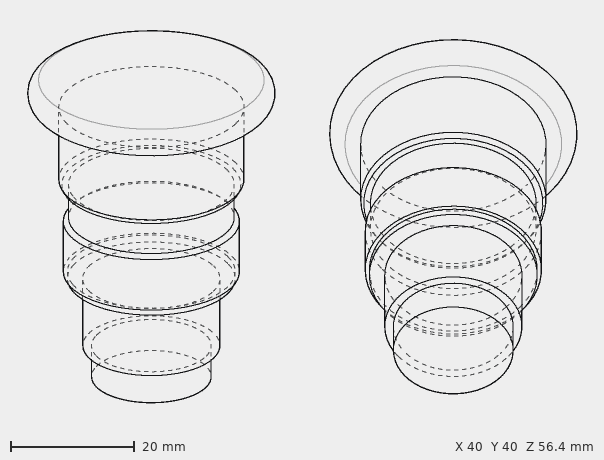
import cadquery as cq
import math


total_height = 56.35
tip_top = 5.6
stem_top = 17.65
flange_top = 18.9
collar_top = 28.65
neck_top = 34.55
cap_underside = 48.5

tip_radius = 9.7
stem_radius = 11.1
flange_radius = 13.6
collar_radius = 14.25
neck_radius = 13.4
sleeve_radius = 15.0

collar_bevel_width = collar_radius - neck_radius
collar_bevel_height = 0.7
sleeve_bevel_width = 0.5
sleeve_bevel_height = 0.9

cap_radius = 20.0
rim_round = 2.5
dome_edge_radius = 18.25
rim_center_radius = cap_radius - rim_round
rim_center_z = cap_underside + rim_round
dome_edge_z = rim_center_z + math.sqrt(rim_round**2 - (dome_edge_radius - rim_center_radius) ** 2)

dome_rise = total_height - dome_edge_z
dome_sphere_radius = (dome_edge_radius**2 + dome_rise**2) / (2 * dome_rise)
dome_half_angle = math.asin(dome_edge_radius / dome_sphere_radius) / 2
dome_mid_radius = dome_sphere_radius * math.sin(dome_half_angle)
dome_mid_z = total_height - dome_sphere_radius * (1 - math.cos(dome_half_angle))

half_outline = (
    cq.Workplane("XZ")
    .moveTo(0, 0)
    .lineTo(tip_radius, 0)
    .lineTo(tip_radius, tip_top)
    .lineTo(stem_radius, tip_top)
    .lineTo(stem_radius, stem_top)
    .lineTo(flange_radius, stem_top)
    .lineTo(flange_radius, flange_top)
    .lineTo(collar_radius, flange_top)
    .lineTo(collar_radius, collar_top - collar_bevel_height)
    .lineTo(collar_radius - collar_bevel_width, collar_top)
    .lineTo(neck_radius, neck_top)
    .lineTo(sleeve_radius - sleeve_bevel_width, neck_top)
    .lineTo(sleeve_radius, neck_top + sleeve_bevel_height)
    .lineTo(sleeve_radius, cap_underside)
    .lineTo(rim_center_radius, cap_underside)
    .threePointArc((cap_radius, rim_center_z), (dome_edge_radius, dome_edge_z))
    .threePointArc((dome_mid_radius, dome_mid_z), (0, total_height))
    .close()
)

result = half_outline.revolve(360, (0, 0), (0, 1))